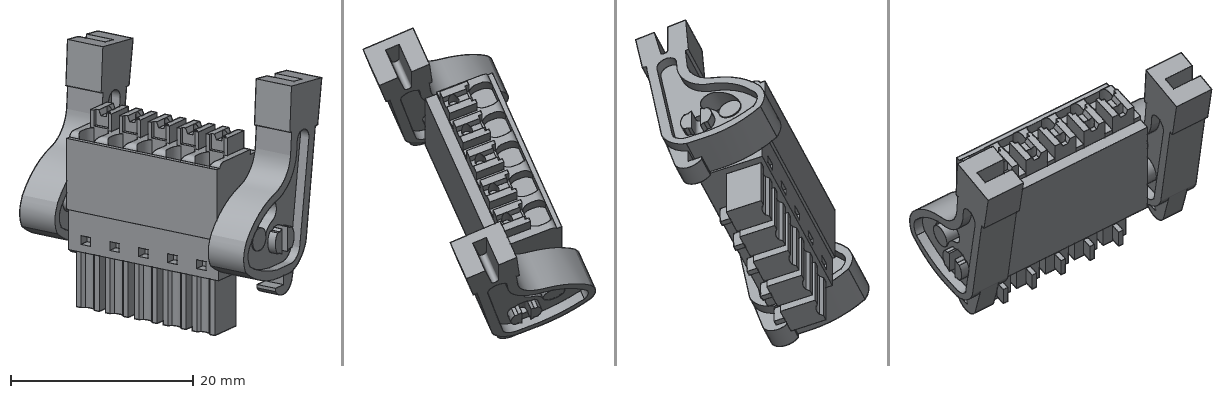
import cadquery as cq
import math


pole_count = 5
pole_pitch = 3.82
pole_positions = [(i - (pole_count - 1) / 2) * pole_pitch for i in range(pole_count)]

housing_width = 19.85
housing_depth = 7.97
lip_height = 12.9
top_height = 13.45
front_lip_depth = 0.55
top_front_y = 1.33
top_back_y = 6.6
lower_front_y = 0.33
ledge_height = 4.7

funnel_radius = 1.45
funnel_front_y = 1.65
funnel_back_y = 2.22
entry_floor = 11.62
window_width = 1.25
window_height = 1.0
window_center_z = 1.4
window_depth = 1.2

sleeve_width = 3.02
sleeve_front_y = 0.77
sleeve_back_y = 4.92
sleeve_length = 6.58
groove_mouth_half = 0.9
groove_floor_half = 0.53
groove_wall_depth = 0.33
groove_depth = 0.45
key_width = 0.6
key_back_y = 6.17
key_top_z = -4.05
key_height = 2.25

pusher_width = 2.82
pusher_front_y = 3.35
pusher_back_y = top_back_y
pusher_top = 15.47
recess_width = 1.93
recess_depth = 0.45
recess_floor = 13.65
notch_top_half = 0.6
notch_floor_half = 0.33
notch_depth = 0.62
bore_radius = 0.6
bore_y = 5.55
bore_depth = 1.48

overall_width = 29.65
lever_width = 4.68
rim_depth = 1.1
web_width = 2.45
web_end = rim_depth + web_width
lever_starts = [-overall_width / 2, overall_width / 2 - lever_width]

pivot_y, pivot_z = 6.2, 3.97
pivot_radius = 1.55
pivot_lip_radius = 1.85
pivot_lip_half_height = 1.22
pivot_lip_thickness = 1.0
pivot_slot_radius = 0.53
pivot_slot_depth = 1.78
guide_orbit = 3.75
guide_radius = 1.3
guide_pin_overhang = 0.12
guide_start_angle = 166.0
guide_end_angle = 112.0
housing_end_x = housing_width / 2
web_outer_x = overall_width / 2 - rim_depth


def profile_at(x):
    """Workplane at the given X whose local axes are the part's Y and Z."""
    return cq.Workplane("YZ", origin=(x, 0, 0))


def block(x_center, width, y_min, y_max, z_min, z_max):
    """Box centred on x_center between the given Y and Z limits."""
    return (
        profile_at(x_center - width / 2)
        .moveTo(y_min, z_min)
        .lineTo(y_max, z_min)
        .lineTo(y_max, z_max)
        .lineTo(y_min, z_max)
        .close()
        .extrude(width)
    )


def around_pivot(radius, angle):
    """Y and Z of a point on a circle about the pivot."""
    turn = math.radians(angle)
    return pivot_y + radius * math.cos(turn), pivot_z + radius * math.sin(turn)


def housing_shell():
    edge_run = top_front_y - front_lip_depth
    edge_drop = top_height - lip_height
    top_edge_radius = (edge_run**2 + edge_drop**2) / (2 * edge_drop)
    return (
        profile_at(-housing_end_x)
        .moveTo(lower_front_y, 0)
        .lineTo(lower_front_y, ledge_height)
        .lineTo(0, ledge_height)
        .lineTo(0, lip_height)
        .lineTo(front_lip_depth, lip_height)
        .radiusArc((top_front_y, top_height), top_edge_radius)
        .lineTo(top_back_y, top_height)
        .lineTo(top_back_y, lip_height)
        .lineTo(housing_depth, lip_height)
        .lineTo(housing_depth, 0)
        .close()
        .extrude(housing_width)
    )


def wire_funnel(x):
    """Oblong wire opening, cut flat along the front lip."""
    oblong = (
        cq.Workplane("XY", origin=(x, 0, entry_floor))
        .moveTo(-funnel_radius, funnel_front_y)
        .lineTo(-funnel_radius, funnel_back_y)
        .threePointArc((0, funnel_back_y + funnel_radius), (funnel_radius, funnel_back_y))
        .lineTo(funnel_radius, funnel_front_y)
        .threePointArc((0, funnel_front_y - funnel_radius), (-funnel_radius, funnel_front_y))
        .close()
        .extrude(pusher_top - entry_floor)
    )
    behind_lip = block(x, pole_pitch, front_lip_depth, housing_depth, entry_floor, pusher_top)
    return oblong.intersect(behind_lip)


def pusher_slot(x):
    return block(x, pusher_width, pusher_front_y, pusher_back_y, entry_floor, pusher_top)


def window(x):
    return block(
        x,
        window_width,
        lower_front_y,
        lower_front_y + window_depth,
        window_center_z - window_height / 2,
        window_center_z + window_height / 2,
    )


def contact_sleeve(x):
    """Sleeve with a rounded groove down its front and a key at the back."""
    groove_wall_y = sleeve_front_y + groove_wall_depth
    sleeve = (
        cq.Workplane("XY", origin=(x, 0, -sleeve_length))
        .moveTo(-sleeve_width / 2, sleeve_front_y)
        .lineTo(-groove_mouth_half, sleeve_front_y)
        .lineTo(-groove_floor_half, groove_wall_y)
        .threePointArc((0, sleeve_front_y + groove_depth), (groove_floor_half, groove_wall_y))
        .lineTo(groove_mouth_half, sleeve_front_y)
        .lineTo(sleeve_width / 2, sleeve_front_y)
        .lineTo(sleeve_width / 2, sleeve_back_y)
        .lineTo(-sleeve_width / 2, sleeve_back_y)
        .close()
        .extrude(sleeve_length)
    )
    key = block(x, key_width, sleeve_back_y, key_back_y, key_top_z - key_height, key_top_z)
    return sleeve.union(key)


def lever_mount():
    """Pivot with split snap lips, and guide pin, on the +X end of the housing."""
    tip_x = web_outer_x + pivot_lip_thickness
    shaft = (
        profile_at(housing_end_x)
        .center(pivot_y, pivot_z)
        .circle(pivot_radius)
        .extrude(tip_x - housing_end_x)
    )
    lip_disc = (
        profile_at(web_outer_x)
        .center(pivot_y, pivot_z)
        .circle(pivot_lip_radius)
        .extrude(pivot_lip_thickness)
    )
    lip_band = block(
        web_outer_x + pivot_lip_thickness / 2,
        pivot_lip_thickness,
        pivot_y - pivot_lip_radius,
        pivot_y + pivot_lip_radius,
        pivot_z - pivot_lip_half_height,
        pivot_z + pivot_lip_half_height,
    )
    slot_floor_x = tip_x - pivot_slot_depth
    slot_round_x = slot_floor_x + pivot_slot_radius
    slot = (
        cq.Workplane("XY", origin=(0, pivot_y, pivot_z - pivot_lip_radius))
        .moveTo(tip_x, -pivot_slot_radius)
        .lineTo(slot_round_x, -pivot_slot_radius)
        .threePointArc((slot_floor_x, 0), (slot_round_x, pivot_slot_radius))
        .lineTo(tip_x, pivot_slot_radius)
        .close()
        .extrude(2 * pivot_lip_radius)
    )
    guide_y, guide_z = around_pivot(guide_orbit, guide_start_angle)
    guide_pin = (
        profile_at(housing_end_x)
        .center(guide_y, guide_z)
        .circle(guide_radius)
        .extrude(web_outer_x + guide_pin_overhang - housing_end_x)
    )
    return shaft.union(lip_disc.intersect(lip_band)).cut(slot).union(guide_pin)


def make_housing():
    body = housing_shell()
    for x in pole_positions:
        body = body.cut(wire_funnel(x)).cut(pusher_slot(x)).cut(window(x))
        body = body.union(contact_sleeve(x))
    mount = lever_mount()
    return body.union(mount).union(mount.mirror("YZ"))


def make_pusher(x):
    """Push block with a front recess, a bevelled screwdriver notch and a bore."""
    body = block(x, pusher_width, pusher_front_y, pusher_back_y, entry_floor, pusher_top)
    recess_back_y = pusher_front_y + recess_depth
    recess = block(x, recess_width, pusher_front_y, recess_back_y, recess_floor, pusher_top)
    notch_floor = pusher_top - notch_depth
    notch = (
        cq.Workplane("XZ", origin=(x, pusher_back_y, 0))
        .moveTo(-notch_top_half, pusher_top)
        .lineTo(-notch_floor_half, notch_floor)
        .lineTo(notch_floor_half, notch_floor)
        .lineTo(notch_top_half, pusher_top)
        .close()
        .extrude(pusher_back_y - pusher_front_y)
    )
    bore = (
        cq.Workplane("XY", origin=(x, bore_y, notch_floor - bore_depth))
        .circle(bore_radius)
        .extrude(bore_depth + notch_depth)
    )
    return body.cut(recess).cut(notch).cut(bore)


def lever_blank(x):
    """Outline of the lever: thumb grip on top, neck, and a rounded foot."""
    return (
        profile_at(x)
        .moveTo(13.35, 20.8)
        .lineTo(7.38, 21.43)
        .lineTo(7.05, 16.18)
        .lineTo(7.4, 16.12)
        .lineTo(7.2, 13.45)
        .threePointArc((6.2, 11.23), (4.18, 9.93))
        .threePointArc((1.15, 8.48), (-1.45, 5.85))
        .lineTo(-1.7, 5.28)
        .threePointArc((-2.0, 3.95), (-1.5, 2.25))
        .threePointArc((1.78, 0.5), (4.92, 0))
        .lineTo(7.3, 0)
        .threePointArc((9.1, 1.05), (10.25, 2.85))
        .lineTo(12.05, 15.55)
        .lineTo(12.55, 15.62)
        .close()
        .extrude(lever_width)
    )


def side_recess(x, depth):
    """Recess that leaves a rim along the neck and foot of the lever."""
    return (
        profile_at(x)
        .moveTo(8.98, 2.37)
        .lineTo(10.8, 14.55)
        .threePointArc((9.65, 15.83), (8.5, 14.75))
        .lineTo(8.4, 13.35)
        .threePointArc((7.08, 10.58), (5.0, 9.15))
        .threePointArc((1.8, 7.77), (-0.47, 5.48))
        .threePointArc((-1.13, 4.05), (-0.65, 2.73))
        .threePointArc((1.8, 1.6), (4.62, 1.0))
        .lineTo(7.2, 1.0)
        .threePointArc((8.42, 1.48), (8.98, 2.37))
        .close()
        .extrude(depth)
    )


def thumb_slot(x):
    """Tapered slot in the grip with a rounded floor, open at the top."""
    return (
        profile_at(x)
        .moveTo(9.5, 22.23)
        .lineTo(9.5, 17.2)
        .threePointArc((10.0, 16.8), (10.37, 17.2))
        .lineTo(11.35, 22.23)
        .close()
        .extrude(web_end)
    )


def latch_hook(x):
    """Hook under the foot, as thick as the web."""
    return (
        profile_at(x + rim_depth)
        .moveTo(10.23, 2.85)
        .lineTo(9.2, -1.35)
        .threePointArc((7.65, -2.8), (5.93, -2.07))
        .lineTo(5.93, -1.7)
        .lineTo(7.53, -1.7)
        .lineTo(7.53, 0.6)
        .close()
        .extrude(web_width)
    )


def guide_slot(x):
    """Curved slot that lets the lever swing past the guide pin."""
    inner = guide_orbit - guide_radius
    outer = guide_orbit + guide_radius
    middle_angle = (guide_start_angle + guide_end_angle) / 2
    track = (
        profile_at(x)
        .moveTo(*around_pivot(inner, guide_start_angle))
        .threePointArc(around_pivot(inner, middle_angle), around_pivot(inner, guide_end_angle))
        .lineTo(*around_pivot(outer, guide_end_angle))
        .threePointArc(around_pivot(outer, middle_angle), around_pivot(outer, guide_start_angle))
        .close()
        .extrude(lever_width)
    )
    ends = (
        profile_at(x)
        .pushPoints([around_pivot(guide_orbit, a) for a in (guide_start_angle, guide_end_angle)])
        .circle(guide_radius)
        .extrude(lever_width)
    )
    return track.union(ends)


def make_lever(x):
    pivot_hole = (
        profile_at(x).center(pivot_y, pivot_z).circle(pivot_radius).extrude(lever_width)
    )
    return (
        lever_blank(x)
        .union(latch_hook(x))
        .cut(side_recess(x, rim_depth))
        .cut(side_recess(x + web_end, lever_width - web_end))
        .cut(thumb_slot(x))
        .cut(guide_slot(x))
        .cut(pivot_hole)
    )


housing = make_housing()
pushers = [make_pusher(x) for x in pole_positions]
levers = [make_lever(x) for x in lever_starts]

result = cq.Compound.makeCompound(
    [housing.val()] + [pusher.val() for pusher in pushers] + [lever.val() for lever in levers]
)